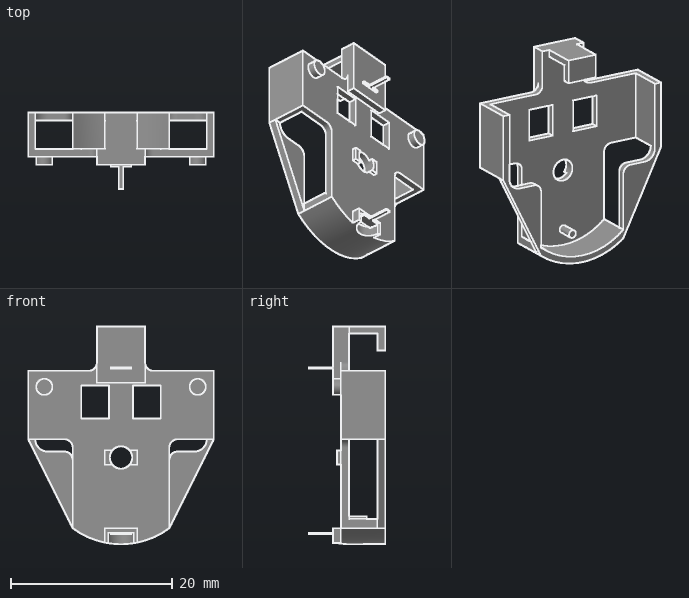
import cadquery as cq
import math

body_width = 23.0
body_depth = 5.5
plate_thickness = 1.0
shoulder_z = 21.5
wing_bottom_z = 13.0
wall = 0.9
rear_thickness = 1.0

stem_half_width = 6.0
stem_corner_z = 2.0
bottom_radius = 10.0
cell_radius = bottom_radius - wall
cell_center_z = bottom_radius

gusset_top_z = 11.5
gusset_outer_fillet = 1.5
corner_radius = 1.0

tower_width = 6.0
tower_bottom_z = 20.0
tower_top_z = 27.0
tower_front = 1.0
hook_width = 4.0
hook_tip_thickness = 1.0
hook_tip_z = 24.0

window_width = 3.4
window_center_x = 3.2
window_bottom_z = 15.6
window_top_z = 19.65
hole_diameter = 2.75
hole_z = 10.75

peg_diameter = 2.0
peg_length = 1.0
peg_x = 9.5
peg_z = 19.5
pad_width = 4.0
pad_height = 1.75
pad_thickness = 0.5
bracket_width = 4.0
bracket_depth = 1.0
notch_radius = 1.6
notch_top_z = 1.44

sheet_thickness = 0.2
bar_thickness = 0.25
contact_bar_width = 2.55
pin_width = 0.6
pin_tip_y = -4.0
upper_contact_top_z = 21.94

stop_diameter = 1.0
stop_length = 2.2
stop_z = 3.0

half_width = body_width / 2


def box(x0, x1, y0, y1, z0, z1):
    """Axis-aligned box given by its limits."""
    return cq.Workplane("XY").box(x1 - x0, y1 - y0, z1 - z0, centered=False).translate((x0, y0, z0))


def centered_box(width, y0, y1, z0, z1):
    """Box symmetric about the X = 0 plane."""
    return box(-width / 2, width / 2, y0, y1, z0, z1)


def rod(x, z, radius, y0, y1):
    """Cylinder along Y."""
    return cq.Workplane("XZ", origin=(x, y0, z)).circle(radius).extrude(y0 - y1)


def make_body():
    """Solid block with wide shoulders, tapered flanks and a rounded bottom."""
    outline = (
        cq.Workplane("XZ")
        .moveTo(-half_width, shoulder_z)
        .lineTo(-half_width, wing_bottom_z)
        .lineTo(-stem_half_width, stem_corner_z)
        .threePointArc((0, 0), (stem_half_width, stem_corner_z))
        .lineTo(half_width, wing_bottom_z)
        .lineTo(half_width, shoulder_z)
        .close()
    )
    return outline.extrude(-body_depth)


def make_cavity():
    """Space for the cell: open at the top and, in the middle, at the rear."""
    inner_width = body_width - 2 * wall
    cell_edge_z = cell_center_z - math.sqrt(cell_radius**2 - stem_half_width**2)
    wide = centered_box(inner_width, plate_thickness, body_depth, gusset_top_z, tower_top_z)
    wide = wide.edges("|Y and <Z").fillet(gusset_outer_fillet)
    middle = (
        cq.Workplane("XZ", origin=(0, plate_thickness, 0))
        .moveTo(-stem_half_width, gusset_top_z)
        .lineTo(-stem_half_width, cell_edge_z)
        .threePointArc((0, cell_center_z - cell_radius), (stem_half_width, cell_edge_z))
        .lineTo(stem_half_width, gusset_top_z)
        .close()
        .extrude(plate_thickness - body_depth)
    )
    cavity = wide.union(middle)
    for side in (-1, 1):
        corner = (side * stem_half_width, body_depth / 2, gusset_top_z)
        cavity = cavity.edges("|Y").edges(cq.NearestToPointSelector(corner)).fillet(corner_radius)
    return cavity


def make_flank_gap(side):
    """Gap beside the stem, leaving only the rear gusset plate."""
    x_in = side * stem_half_width
    x_out = side * half_width
    gap = box(min(x_in, x_out), max(x_in, x_out), 0, body_depth - rear_thickness, 0, wing_bottom_z)
    inner_edge = "<X" if side > 0 else ">X"
    return gap.edges("|Y and >Z").edges(inner_edge).fillet(corner_radius)


def make_tower():
    """Upper clip: a thick post with a hook reaching to the rear."""
    post = centered_box(tower_width, -tower_front, plate_thickness, tower_bottom_z, tower_top_z)
    arm = centered_box(hook_width, 0, body_depth, tower_top_z - wall, tower_top_z)
    tip = centered_box(hook_width, body_depth - hook_tip_thickness, body_depth, hook_tip_z, tower_top_z)
    return post.union(arm).union(tip)


def make_shoulder_fillets():
    """Concave fillets between the post and the top edge of the plate."""
    reach = tower_width / 2 + corner_radius
    top = shoulder_z + corner_radius
    strip = centered_box(2 * reach, 0, plate_thickness, shoulder_z - corner_radius, top)
    for side in (-1, 1):
        strip = strip.cut(rod(side * reach, top, corner_radius, 0, plate_thickness))
    return strip


def make_contact(top_z, bar_back_y):
    """T-shaped sheet contact with its pin pointing forward."""
    bottom_z = top_z - sheet_thickness
    bar_front_y = -tower_front - bar_thickness
    bar = centered_box(contact_bar_width, bar_front_y, bar_back_y, bottom_z, top_z)
    pin = centered_box(pin_width, pin_tip_y, bar_back_y, bottom_z, top_z)
    return bar.union(pin)


def make_bracket():
    """Raised frame at the bottom end, following the rounded outline."""
    frame = centered_box(bracket_width, -bracket_depth, 0, 0, stem_corner_z)
    return frame.intersect(rod(0, cell_center_z, bottom_radius, -bracket_depth, 0))


def make_notch():
    """Half-round notch cut through the frame and into the body from below."""
    return cq.Workplane("XY").center(0, -bracket_depth).circle(notch_radius).extrude(notch_top_z)


def make_window(side):
    """Rectangular opening through the front plate."""
    window = centered_box(window_width, 0, plate_thickness, window_bottom_z, window_top_z)
    return window.translate((side * window_center_x, 0, 0))


def make_pad():
    """Raised rectangular pad around the round hole."""
    bottom_z = hole_z - pad_height / 2
    return centered_box(pad_width, -pad_thickness, 0, bottom_z, bottom_z + pad_height)


part = make_body().cut(make_cavity())
for side in (-1, 1):
    part = part.cut(make_flank_gap(side))
    part = part.cut(make_window(side))
    part = part.union(rod(side * peg_x, peg_z, peg_diameter / 2, -peg_length, 0))

part = part.union(make_tower()).union(make_shoulder_fillets())

part = part.union(make_pad())
part = part.cut(rod(0, hole_z, hole_diameter / 2, -pad_thickness, plate_thickness))

stop_back_y = plate_thickness + stop_length
part = part.union(rod(0, stop_z, stop_diameter / 2, plate_thickness, stop_back_y))

part = part.union(make_bracket()).cut(make_notch())
part = part.union(make_contact(upper_contact_top_z, -tower_front))
part = part.union(make_contact(notch_top_z, 0))

result = part